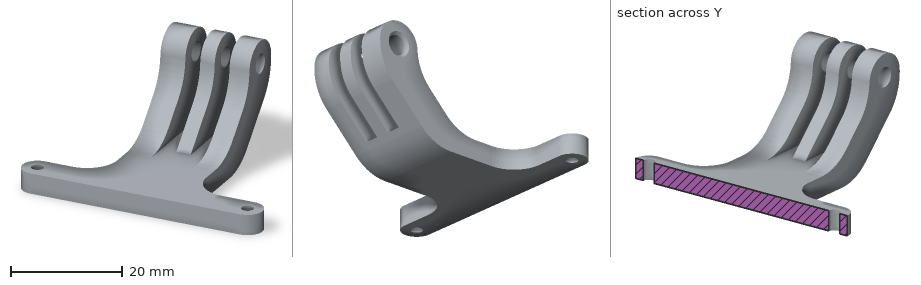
import cadquery as cq
import math

length = 48.0
depth = 39.0
plate_thickness = 4.0

foot_width = 6.0
foot_end_radius = foot_width / 2
neck_fillet = 6.0
screw_hole_diameter = 2.3
screw_spacing = length - foot_width

center_lug = (-1.45, 1.45)
lug_gap = 3.0
left_lug_width = 5.0
right_lug_width = 4.0
right_lug_start = center_lug[1] + lug_gap
left_lug_end = center_lug[0] - lug_gap
neck_left = left_lug_end - left_lug_width
neck_right = right_lug_start + right_lug_width

eye_radius = 4.5
eye_y = depth - eye_radius
eye_z = 17.45
eye_front_y = eye_y - eye_radius
pin_hole_diameter = 3.85
countersink = 0.55

bend_radius = 10.0
bend_angle = math.radians(45)
bend_tangent = bend_radius * math.tan(bend_angle / 2)
upper_bend_y = 20.0
lower_bend_y = 26.0


def slope_point(corner, distance):
    """Point on a 45 degree line through corner, going back and up."""
    step = distance * math.cos(bend_angle)
    return (corner[0] + step, corner[1] + step)


def arm_solid():
    """Side outline of plate, bent arm and hinge eye, as wide as the neck."""
    upper_low = (upper_bend_y, plate_thickness)
    upper_high = (eye_front_y, plate_thickness + eye_front_y - upper_bend_y)
    lower_low = (lower_bend_y, 0)
    lower_high = (depth, depth - lower_bend_y)
    return (
        cq.Workplane("YZ", origin=(neck_left, 0, 0))
        .moveTo(0, 0)
        .lineTo(lower_bend_y - bend_tangent, 0)
        .radiusArc(slope_point(lower_low, bend_tangent), -bend_radius)
        .lineTo(*slope_point(lower_high, -bend_tangent))
        .radiusArc((depth, lower_high[1] + bend_tangent), -bend_radius)
        .lineTo(depth, eye_z)
        .threePointArc((eye_y, eye_z + eye_radius), (eye_front_y, eye_z))
        .radiusArc(slope_point(upper_high, -bend_tangent), bend_radius)
        .lineTo(*slope_point(upper_low, bend_tangent))
        .radiusArc((upper_bend_y - bend_tangent, plate_thickness), bend_radius)
        .lineTo(0, plate_thickness)
        .close()
        .extrude(neck_right - neck_left)
    )


def foot_solid():
    """Rounded bar with concave fillets running up into the neck."""
    fillet_end_y = foot_width + neck_fillet
    bar = (
        cq.Workplane("XY")
        .center(0, foot_end_radius)
        .slot2D(length, foot_width)
        .extrude(plate_thickness)
    )
    flare = (
        cq.Workplane("XY")
        .moveTo(neck_left - neck_fillet, foot_width)
        .radiusArc((neck_left, fillet_end_y), -neck_fillet)
        .lineTo(neck_right, fillet_end_y)
        .radiusArc((neck_right + neck_fillet, foot_width), -neck_fillet)
        .lineTo(neck_right + neck_fillet, foot_end_radius)
        .lineTo(neck_left - neck_fillet, foot_end_radius)
        .close()
        .extrude(plate_thickness)
    )
    return bar.union(flare)


def lug_slot(x_start, x_end):
    """Gap between two lugs: everything above the plate's top face."""
    height = eye_z + eye_radius - plate_thickness
    return (
        cq.Workplane("XY", origin=(x_start, 0, plate_thickness))
        .box(x_end - x_start, depth, height, centered=False)
    )


def center_lug_toe():
    """Removes the bend at the foot of the center lug, leaving a flat slope."""
    return (
        cq.Workplane("YZ", origin=(center_lug[0], 0, 0))
        .moveTo(0, plate_thickness)
        .lineTo(upper_bend_y, plate_thickness)
        .lineTo(upper_bend_y + bend_tangent, plate_thickness + bend_tangent)
        .lineTo(0, plate_thickness + bend_tangent)
        .close()
        .extrude(center_lug[1] - center_lug[0])
    )


def pin_hole():
    """Through hole along X, countersunk on the left lug's outer face."""
    radius = pin_hole_diameter / 2
    bore = (
        cq.Workplane("YZ", origin=(neck_left, eye_y, eye_z))
        .circle(radius)
        .extrude(neck_right - neck_left)
    )
    cone = cq.Solid.makeCone(
        radius + countersink, radius, countersink,
        pnt=cq.Vector(neck_left, eye_y, eye_z), dir=cq.Vector(1, 0, 0),
    )
    return bore.union(cq.Workplane(cone))


def screw_holes():
    """One hole concentric with each rounded end of the foot."""
    return (
        cq.Workplane("XY")
        .pushPoints([(side * screw_spacing / 2, foot_end_radius) for side in (-1, 1)])
        .circle(screw_hole_diameter / 2)
        .extrude(plate_thickness)
    )


result = arm_solid().union(foot_solid())
for slot_start, slot_end in ((left_lug_end, center_lug[0]), (center_lug[1], right_lug_start)):
    result = result.cut(lug_slot(slot_start, slot_end))
result = result.cut(center_lug_toe()).cut(pin_hole()).cut(screw_holes())